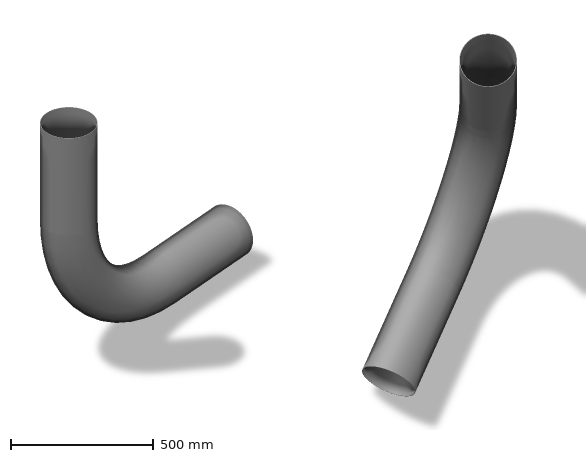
import cadquery as cq
import math

outer_diameter = 203.0
inner_diameter = 199.0
leg_length = 406.0
bend_radius = 508.0

bend_offset = bend_radius * (1 - math.cos(math.radians(45)))
pipe_end = bend_radius + leg_length

centreline = (
    cq.Workplane("YZ")
    .moveTo(0, pipe_end)
    .lineTo(0, bend_radius)
    .threePointArc((bend_offset, bend_offset), (bend_radius, 0))
    .lineTo(pipe_end, 0)
)

result = (
    cq.Workplane("XY", origin=(0, 0, pipe_end))
    .circle(outer_diameter / 2)
    .circle(inner_diameter / 2)
    .sweep(centreline)
)